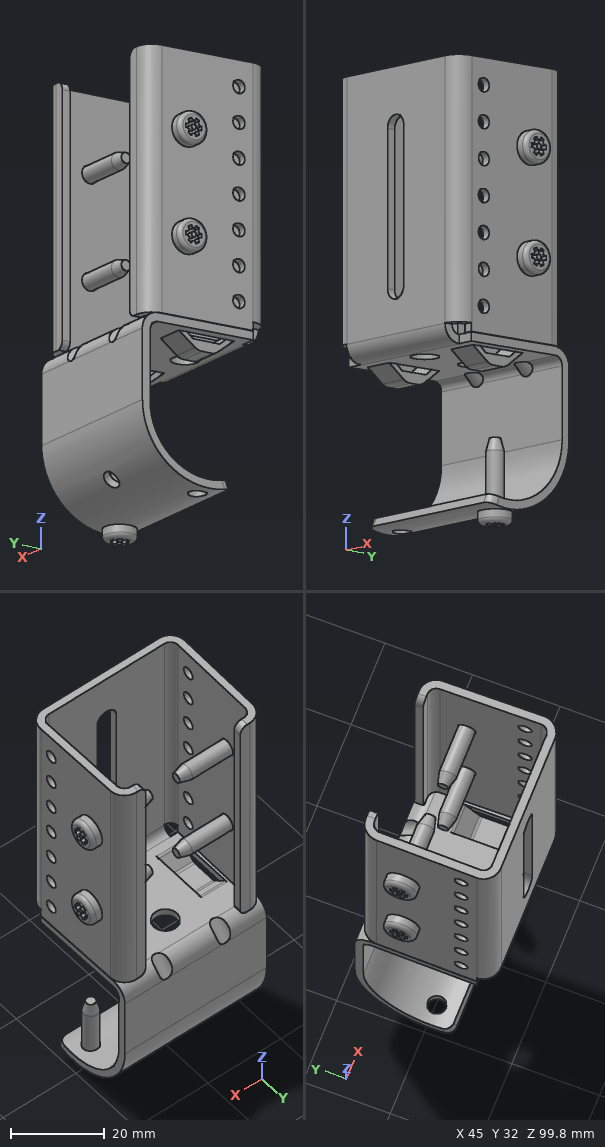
import cadquery as cq
import math

sheet = 2.0
bend_radius = 4.0
channel_height = 60.0
channel_depth = 31.0
front_half_width = 19.93
side_taper = math.radians(0.75)
relief_gap = 0.1
flange_half_gap = 13.0
flange_corner = 2.0
pick_margin = 0.2

slot_width = 5.2
slot_length = 40.0
slot_centre_z = 29.5

row_hole_diameter = 3.0
row_hole_count = 7
row_hole_pitch = 8.0
row_hole_y = 7.6
row_centre_z = channel_height / 2

plate_hole_diameter = 6.2
plate_hole_spacing = 13.5
plate_hole_centre_y = 15.0

hook_back_y = 32.0
arc_outer = 17.0
arc_inner = arc_outer - sheet
arc_y = hook_back_y - arc_outer
arc_z = -20.0
lip_angle = math.radians(19.5)
lip_corner = 2.0
hook_hole_angle = 45.0

bridge_inner_x = 10.0
bridge_width = 7.0
bridge_centre_y = 14.0
hollow_top_half = 7.2
hollow_bottom_half = 3.4
hollow_depth = 3.3
hollow_round = 1.0
pressed_top_half = 7.05
pressed_bottom_half = 2.2
pressed_depth = 3.7
pressed_round = 3.0

rib_x = 8.0
rib_groove_radius = 2.0
rib_bump_radius = 3.0
rib_groove_floor_y = 27.8
rib_bump_floor_y = 25.3
rib_length = 20.0

shank_diameter = 3.9
screw_hole_diameter = 4.1
shank_length = 16.0
tip_length = 2.8
tip_diameter = 2.4
head_diameter = 7.5
head_height = 2.8
head_round_height = 1.1
head_face_diameter = 5.7
recess_diameter = 4.1
recess_depth = 1.5
recess_flute_radius = 0.6
recess_lobes = 6
recess_pin_diameter = 1.2
side_screw_y = 20.85
side_screw_spacing = 24.0
hook_screw_x = 15.0


def half_width(y):
    """Half width of the bracket at depth y."""
    return front_half_width - y * math.tan(side_taper)


def tapered_outline(depth):
    """Plan outline of the bracket from the front face to the given depth."""
    rear = half_width(depth)
    return cq.Workplane("XY").polyline([
        (-front_half_width, 0),
        (front_half_width, 0),
        (rear, depth),
        (-rear, depth),
    ]).close()


def box(x_range, y_range, z_range):
    """Axis-aligned box between three pairs of limits."""
    limits = (x_range, y_range, z_range)
    size = [high - low for low, high in limits]
    corner = [low for low, high in limits]
    return cq.Workplane("XY").box(*size, centered=False).translate(tuple(corner))


def make_channel():
    """Upright channel with a front wall, two side walls and two short rear flanges."""
    outside = tapered_outline(channel_depth).extrude(channel_height).edges("|Z").fillet(bend_radius)
    inside = outside.faces("<Z").wires().toPending().offset2D(-sheet).extrude(channel_height, combine=False)
    channel = outside.cut(inside)

    opening = box(
        (-flange_half_gap, flange_half_gap),
        (channel_depth - sheet, channel_depth),
        (0, channel_height),
    )
    channel = channel.cut(opening)
    for side in (-1, 1):
        end = cq.selectors.BoxSelector(
            (side * flange_half_gap - pick_margin, channel_depth - sheet, -pick_margin),
            (side * flange_half_gap + pick_margin, channel_depth, channel_height + pick_margin),
        )
        channel = channel.edges(end).edges("|Y").fillet(flange_corner)

    all_x = (-front_half_width, front_half_width)
    channel = channel.cut(box(all_x, (0, bend_radius), (0, bend_radius - sheet)))
    return channel.cut(box(all_x, (0, channel_depth), (0, relief_gap)))


def make_hook():
    """Base plate bent down at the rear into a curved hook."""
    def arc_point(radius, angle):
        """Point on the hook's arc, with the angle from straight down towards the rear."""
        return (arc_y + radius * math.sin(angle), arc_z - radius * math.cos(angle))

    mid_angle = (math.pi / 2 - lip_angle) / 2
    inner_bend = bend_radius - sheet
    bend_y = hook_back_y - bend_radius
    outline = (
        cq.Workplane("YZ")
        .moveTo(bend_radius, 0)
        .lineTo(bend_y, 0)
        .radiusArc((hook_back_y, -bend_radius), bend_radius)
        .lineTo(hook_back_y, arc_z)
        .threePointArc(arc_point(arc_outer, mid_angle), arc_point(arc_outer, -lip_angle))
        .lineTo(*arc_point(arc_inner, -lip_angle))
        .threePointArc(arc_point(arc_inner, mid_angle), (hook_back_y - sheet, arc_z))
        .lineTo(hook_back_y - sheet, -bend_radius)
        .radiusArc((bend_y, -sheet), -inner_bend)
        .lineTo(bend_radius, -sheet)
        .close()
        .extrude(front_half_width, both=True)
    )
    lowest = arc_z - arc_outer
    plan = tapered_outline(hook_back_y).extrude(lowest)
    hook = outline.intersect(plan)

    lip_y, lip_z = arc_point(arc_outer, -lip_angle)
    for side in (-1, 1):
        x = side * half_width(lip_y)
        corner = cq.selectors.BoxSelector(
            (x - pick_margin, lip_y - pick_margin, lip_z - pick_margin),
            (x + pick_margin, lip_y + sheet, lip_z + sheet),
            boundingbox=True,
        )
        hook = hook.edges(corner).fillet(lip_corner)
    return hook


def make_front_bend():
    """Bend joining the base plate to the front wall, between the channel's front corners."""
    reach = front_half_width - bend_radius
    return (
        cq.Workplane("YZ")
        .moveTo(bend_radius, -sheet)
        .radiusArc((0, bend_radius - sheet), bend_radius)
        .lineTo(sheet, bend_radius - sheet)
        .radiusArc((bend_radius, 0), -(bend_radius - sheet))
        .close()
        .extrude(reach, both=True)
    )


def bridge_block(start_x, top_z, top_half, bottom_half, depth, bottom_round):
    """Trapezoid across one bridge, from the given height down, with rounded lower corners."""
    return (
        cq.Workplane("YZ", origin=(start_x, bridge_centre_y, top_z))
        .polyline([
            (-top_half, 0),
            (-bottom_half, -depth),
            (bottom_half, -depth),
            (top_half, 0),
        ])
        .close()
        .extrude(bridge_width)
        .faces("<Z").edges("|X").fillet(bottom_round)
    )


def rib_cylinder(x, floor_y, radius):
    """Cylinder at 45 degrees whose lowest line meets the plate's top plane at floor_y."""
    axis_y = floor_y + radius * math.sqrt(2)
    direction = cq.Vector(0, 1, -1).normalized()
    base = cq.Vector(x, axis_y, 0) - direction * (rib_length / 2)
    return cq.Workplane(obj=cq.Solid.makeCylinder(radius, rib_length, base, direction))


def make_bracket():
    """Channel, base plate and hook folded from one sheet."""
    hook = make_hook()

    for start_x in (bridge_inner_x, -bridge_inner_x - bridge_width):
        pressed = bridge_block(
            start_x, -sheet, pressed_top_half, pressed_bottom_half, pressed_depth, pressed_round
        )
        hollow = bridge_block(
            start_x, 0, hollow_top_half, hollow_bottom_half, hollow_depth, hollow_round
        )
        hook = hook.union(pressed).cut(hollow)
        for end in (-1, 1):
            end_y = bridge_centre_y + end * hollow_top_half
            top_edge = cq.selectors.NearestToPointSelector((start_x + bridge_width / 2, end_y, 0))
            hook = hook.edges("|X").edges(top_edge).fillet(hollow_round)

    mid_sheet = sheet / 2
    bend_zone = box(
        (-front_half_width, front_half_width),
        (hook_back_y - 2 * bend_radius, hook_back_y - mid_sheet),
        (-2 * bend_radius, -mid_sheet),
    ).edges(">Y and >Z").fillet(bend_radius - mid_sheet)
    for x in (-rib_x, rib_x):
        hook = hook.union(rib_cylinder(x, rib_bump_floor_y, rib_bump_radius).intersect(bend_zone))
        hook = hook.cut(rib_cylinder(x, rib_groove_floor_y, rib_groove_radius))

    bracket = hook.union(make_front_bend()).union(make_channel())

    slot = (
        cq.Workplane("XZ", origin=(0, 0, slot_centre_z))
        .slot2D(slot_length, slot_width, 90)
        .extrude(-sheet)
    )
    row_holes = (
        cq.Workplane("YZ", origin=(0, row_hole_y, row_centre_z))
        .rarray(1, row_hole_pitch, 1, row_hole_count)
        .circle(row_hole_diameter / 2)
        .extrude(front_half_width, both=True)
    )
    plate_holes = (
        cq.Workplane("XY", origin=(0, plate_hole_centre_y, 0))
        .rarray(1, plate_hole_spacing, 1, 2)
        .circle(plate_hole_diameter / 2)
        .extrude(-sheet)
    )
    hook_end_holes = (
        cq.Workplane("XY", origin=(0, arc_y, arc_z))
        .rarray(2 * hook_screw_x, 1, 2, 1)
        .circle(screw_hole_diameter / 2)
        .extrude(-arc_outer)
    )
    hook_centre_hole = (
        cq.Workplane("XY")
        .circle(screw_hole_diameter / 2)
        .extrude(-arc_outer - sheet)
        .rotate((0, 0, 0), (1, 0, 0), hook_hole_angle)
        .translate((0, arc_y, arc_z))
    )
    bracket = bracket.cut(slot).cut(row_holes).cut(plate_holes)
    bracket = bracket.cut(hook_end_holes).cut(hook_centre_hole)
    for seat in side_screw_seats():
        bracket = bracket.cut(seat_hole(seat))
    return bracket


def side_screw_seats():
    """Outward-facing planes for the side screws, touching the wall at the front of each head."""
    seat_x = half_width(side_screw_y - head_diameter / 2)
    seats = []
    for side in (-1, 1):
        for step in (-0.5, 0.5):
            z = channel_height / 2 + step * side_screw_spacing
            origin = (side * seat_x, side_screw_y, z)
            seats.append(cq.Plane(origin=origin, xDir=(0, 0, 1), normal=(side, 0, 0)))
    return seats


def seat_hole(seat):
    """Clearance hole through the wall below a screw seat."""
    return cq.Workplane(seat).circle(screw_hole_diameter / 2).extrude(-2 * sheet)


def make_screw(seat):
    """Button-head screw with a pinned six-lobe recess, its head standing on the seat plane."""
    shank_radius = shank_diameter / 2
    head_radius = head_diameter / 2
    body = (
        cq.Workplane("XZ")
        .moveTo(0, -shank_length)
        .lineTo(tip_diameter / 2, -shank_length)
        .lineTo(shank_radius, tip_length - shank_length)
        .lineTo(shank_radius, 0)
        .lineTo(head_radius, 0)
        .lineTo(head_radius, head_height - head_round_height)
        .tangentArcPoint((head_face_diameter / 2, head_height), relative=False)
        .lineTo(0, head_height)
        .close()
        .revolve(360, (0, 0, 0), (0, 1, 0))
    )
    floor = cq.Workplane("XY", origin=(0, 0, head_height - recess_depth))
    recess = floor.circle(recess_diameter / 2).extrude(recess_depth)
    flutes = (
        floor.polarArray(recess_diameter / 2, 0, 360, recess_lobes)
        .circle(recess_flute_radius)
        .extrude(recess_depth)
    )
    pin = floor.circle(recess_pin_diameter / 2).extrude(recess_depth)
    screw = body.cut(recess.cut(flutes).cut(pin))
    return cq.Workplane(obj=screw.val().located(cq.Location(seat)))


bracket = make_bracket()
hook_seat = cq.Plane(origin=(hook_screw_x, arc_y, arc_z - arc_outer), xDir=(1, 0, 0), normal=(0, 0, -1))
screws = [make_screw(seat) for seat in side_screw_seats() + [hook_seat]]

result = cq.Compound.makeCompound([bracket.val(), *[screw.val() for screw in screws]])